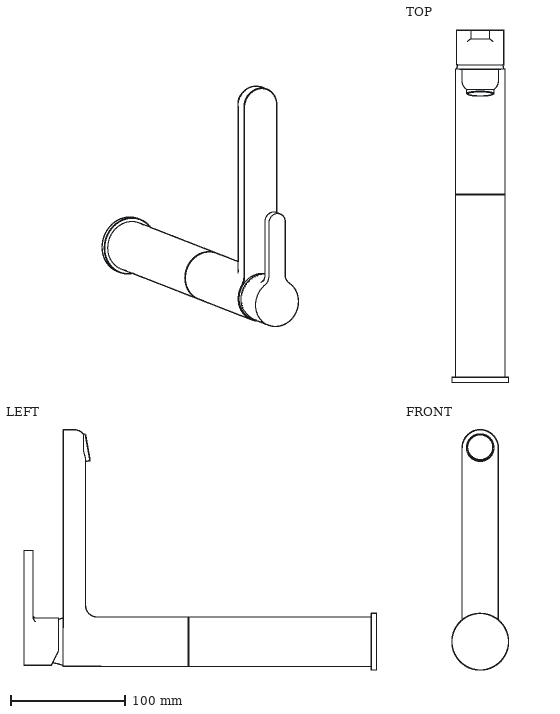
import cadquery as cq
import math


FLANGE_RADIUS = 25.0
FLANGE_THICKNESS = 5.0
FLANGE_CHAMFER = 0.4
BODY_RADIUS = 21.75
BODY_END = 275.0
SEAM_Y = 165.0
SEAM_WIDTH = 1.0
SEAM_DEPTH = 0.25

TOTAL_LENGTH = 309.15
CAP_RADIUS = 20.8
CAP_GAP = 3.6
CAP_START = BODY_END + CAP_GAP
RELIEF_TOP = -7.5
RELIEF_SETBACK = 6.5
NECK_ROOT_RADIUS = 20.8
NECK_TIP_RADIUS = 18.0
NECK_LENGTH = 10.5

LEVER_TOP = 80.0
LEVER_WIDTH = 16.0
LEVER_THICKNESS = 8.0
LEVER_SIDE_FLARE = 8.5
LEVER_FRONT_FILLET = 2.5

SPOUT_TOP = 186.0
SPOUT_WIDTH = 32.0
SPOUT_DEPTH = 20.0
SPOUT_EDGE_RADIUS = 10.0
SPOUT_BACK_CHAMFER = 0.5
SPOUT_ROOT_FILLET = 10.0
SPOUT_FRONT = BODY_END - SPOUT_DEPTH

OUTLET_RADIUS = 12.0
OUTLET_FACE_RADIUS = 11.0
OUTLET_STEP = 0.5
OUTLET_TILT = 10.0
OUTLET_PROJECTION = 2.0
OUTLET_EMBED = 4.0
OUTLET_CENTER_Z = 170.5

CLEARANCE = 1.0
EDGE_TOLERANCE = 0.01


def cylinder_y(radius, start, end):
    """Cylinder on the Y axis between two Y positions."""
    return cq.Workplane("XZ", origin=(0, start, 0)).circle(radius).extrude(start - end)


def make_spout():
    """Upright bar standing on the body axis, with a semicircular top and rounded front edges."""
    half = SPOUT_WIDTH / 2
    shoulder = SPOUT_TOP - half
    spout = (
        cq.Workplane("XZ", origin=(0, SPOUT_FRONT, 0))
        .moveTo(-half, 0)
        .lineTo(-half, shoulder)
        .threePointArc((0, SPOUT_TOP), (half, shoulder))
        .lineTo(half, 0)
        .close()
        .extrude(-SPOUT_DEPTH)
    )
    return spout.faces("<Y").edges("not <Z").fillet(SPOUT_EDGE_RADIUS)


def make_body_and_spout():
    """Tube and spout blended together, with the flange and the seam groove."""
    tube = cylinder_y(BODY_RADIUS, 0, BODY_END)
    body = tube.union(make_spout())
    half = SPOUT_WIDTH / 2
    root_zone = cq.selectors.BoxSelector(
        (-half - CLEARANCE, SPOUT_FRONT - CLEARANCE, CLEARANCE),
        (half + CLEARANCE, BODY_END - EDGE_TOLERANCE, BODY_RADIUS + CLEARANCE),
    )
    body = body.edges(root_zone).fillet(SPOUT_ROOT_FILLET)
    body = body.faces(">Y").edges().chamfer(SPOUT_BACK_CHAMFER).union(tube)

    flange = cylinder_y(FLANGE_RADIUS, 0, FLANGE_THICKNESS).faces(">Y").chamfer(FLANGE_CHAMFER)
    seam_start = SEAM_Y - SEAM_WIDTH / 2
    seam_end = SEAM_Y + SEAM_WIDTH / 2
    seam = cylinder_y(BODY_RADIUS + CLEARANCE, seam_start, seam_end).cut(
        cylinder_y(BODY_RADIUS - SEAM_DEPTH, seam_start, seam_end)
    )
    return body.union(flange).cut(seam)


def make_outlet():
    """Stepped disc set into the front of the spout, facing -Y and tilted upwards."""
    tilt = math.radians(OUTLET_TILT)
    face_plane = cq.Plane(
        origin=(0, SPOUT_FRONT - OUTLET_PROJECTION, OUTLET_CENTER_Z),
        xDir=(1, 0, 0),
        normal=(0, -math.cos(tilt), math.sin(tilt)),
    )
    face = cq.Workplane(face_plane).circle(OUTLET_FACE_RADIUS).extrude(-OUTLET_STEP)
    disc = (
        cq.Workplane(face_plane)
        .workplane(offset=-OUTLET_STEP)
        .circle(OUTLET_RADIUS)
        .extrude(-OUTLET_EMBED)
    )
    return disc.union(face)


def make_cap():
    """Handle cap whose rim is cut back at an angle along its underside."""
    cap = cylinder_y(CAP_RADIUS, CAP_START, TOTAL_LENGTH)
    slope = RELIEF_SETBACK / (CAP_RADIUS + RELIEF_TOP)
    cut_bottom = -CAP_RADIUS - CLEARANCE
    cut_back = CAP_START + slope * (RELIEF_TOP - cut_bottom)
    relief = (
        cq.Workplane("YZ")
        .polyline([(CAP_START, RELIEF_TOP), (CAP_START, cut_bottom), (cut_back, cut_bottom)])
        .close()
        .extrude(CAP_RADIUS + CLEARANCE, both=True)
    )
    return cap.cut(relief)


def lever_prism(thickness):
    """Lever outline, flaring at its foot onto the cap, extruded forward from the tap's end."""
    half = LEVER_WIDTH / 2
    flare_x = half + LEVER_SIDE_FLARE
    flare_z = math.sqrt((CAP_RADIUS + LEVER_SIDE_FLARE) ** 2 - flare_x**2)
    foot_ratio = CAP_RADIUS / (CAP_RADIUS + LEVER_SIDE_FLARE)
    foot_x = flare_x * foot_ratio
    foot_z = flare_z * foot_ratio
    shoulder = LEVER_TOP - half
    return (
        cq.Workplane("XZ", origin=(0, TOTAL_LENGTH - thickness, 0))
        .moveTo(foot_x, foot_z)
        .radiusArc((half, flare_z), LEVER_SIDE_FLARE)
        .lineTo(half, shoulder)
        .threePointArc((0, LEVER_TOP), (-half, shoulder))
        .lineTo(-half, flare_z)
        .radiusArc((-foot_x, foot_z), LEVER_SIDE_FLARE)
        .close()
        .extrude(-thickness)
    )


def make_lever():
    """Lever with a small concave fillet between its front face and the cap."""
    front = TOTAL_LENGTH - LEVER_THICKNESS
    fillet = LEVER_FRONT_FILLET
    fillet_ring = (
        cq.Workplane("XY")
        .moveTo(0, front)
        .lineTo(0, front - fillet)
        .lineTo(CAP_RADIUS, front - fillet)
        .radiusArc((CAP_RADIUS + fillet, front), fillet)
        .close()
        .revolve(360, (0, 0, 0), (0, 1, 0))
    )
    foot = lever_prism(LEVER_THICKNESS + fillet).intersect(fillet_ring)
    return lever_prism(LEVER_THICKNESS).union(foot)


def make_neck():
    """Cone narrowing from the end of the body into the cap."""
    return (
        cq.Workplane("XY")
        .polyline(
            [
                (0, BODY_END),
                (NECK_ROOT_RADIUS, BODY_END),
                (NECK_TIP_RADIUS, BODY_END + NECK_LENGTH),
                (0, BODY_END + NECK_LENGTH),
            ]
        )
        .close()
        .revolve(360, (0, 0, 0), (0, 1, 0))
    )


result = make_body_and_spout()
for attachment in (make_outlet(), make_neck(), make_cap(), make_lever()):
    result = result.union(attachment)